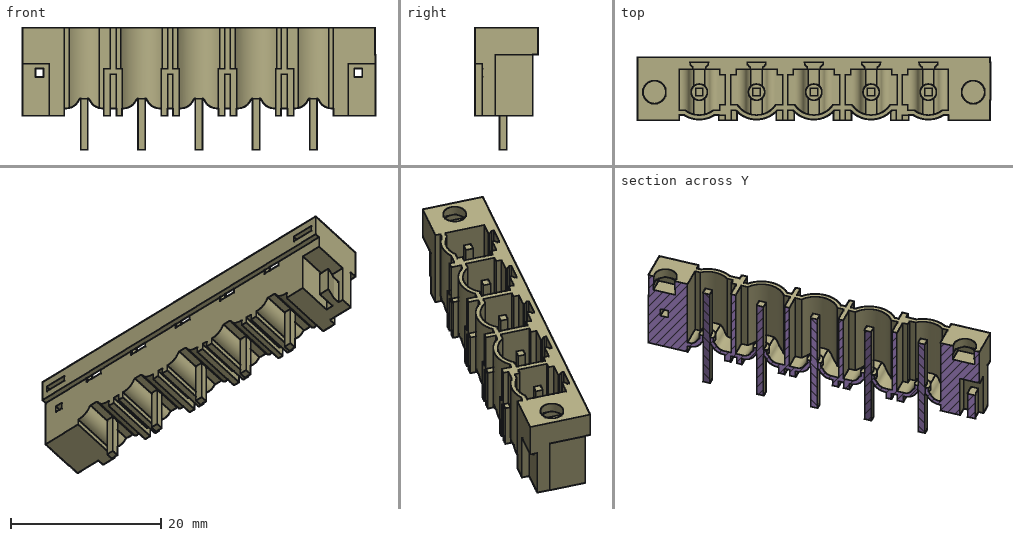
import cadquery as cq
import math


body_length = 46.9
body_depth = 8.4
body_height = 11.75
lower_depth = 7.7
overhang_z = 8.15
wall = 0.7

cell_count = 5
end_pin_span = 30.5
pitch = end_pin_span / (cell_count - 1)
cell_xs = [(i - (cell_count - 1) / 2) * pitch for i in range(cell_count)]
cells_length = 35.8
pin_y = 3.75
front_radius = 3.65
socket_radius = 3.05
socket_half_width = 2.72
socket_back_y = 6.8
side_pocket_front_y = 2.05
side_pocket_back_y = 6.05
side_pocket_half_width = (pitch - wall) / 2
end_front_y = wall
inner_front_y = side_pocket_front_y - wall

underside_z = 1.0
floor_z = underside_z + wall
trough_offset = 2.45
trough_radius = 1.9
ridge_radius = 0.85
ridge_rise = 0.65
trough_center_z = underside_z + trough_radius
ridge_center_z = trough_center_z - math.sqrt((trough_radius + ridge_radius) ** 2 - trough_offset ** 2)
ridge_top_z = ridge_center_z + ridge_rise + wall
boss_radius = 1.1
boss_height = 0.45

groove_neck_half_width = 0.85
groove_back_half_width = 1.2
groove_neck_y = 7.05
groove_taper = groove_back_half_width - groove_neck_half_width
groove_floor_z = 7.5

rib_half_width = 0.35
wide_rib_half_width = 0.45
wide_rib_inner_x = (end_pin_span - pitch) / 2 - wide_rib_half_width
rib_bottom_z = 5.55
foot_half_width = 1.2
foot_top_z = 6.25

ear_length = (body_length - cells_length) / 2
ear_notch_length = 3.55
ear_notch_depth = 1.0
ear_notch_top_z = 6.95
screw_offset = 2.25
screw_diameter = 3.05
nut_slot_top_z = 10.35
nut_slot_bottom_z = 9.4
window_bottom_z = 5.2
window_top_z = 6.3
window_near = 1.75
window_far = 2.75

latch_front_y = 2.72
tongue_back_y = 5.4
tongue_bend_y = 3.7
tongue_top_z = 4.1
tongue_tip = 0.3
tongue_face = 0.7
tab_thickness = 0.05

pin_width = 1.0
pin_length = 15.35
pin_bottom_z = -4.5


def block(x_range, y_range, z_range):
    """Box given by its limits along each axis."""
    (x0, x1), (y0, y1), (z0, z1) = x_range, y_range, z_range
    return cq.Workplane("XY").box(x1 - x0, y1 - y0, z1 - z0, centered=False).translate((x0, y0, z0))


def wave_plate(x, trough_r, ridge_r, ridge_flat_rise):
    """Solid from Z = 0 up to a ridge-and-trough curve centred at x, running the full depth along Y."""
    ridge_half_flat = math.sqrt(ridge_r ** 2 - ridge_flat_rise ** 2)
    flat_z = ridge_center_z + ridge_flat_rise
    trough_z = trough_center_z - trough_r
    joint_angle = math.asin(trough_offset / (trough_radius + ridge_radius))
    flat_angle = math.asin(ridge_half_flat / ridge_r)

    def ridge_point(angle, side):
        return side * ridge_r * math.sin(angle), ridge_center_z + ridge_r * math.cos(angle)

    def trough_point(angle, side):
        return (side * (trough_offset - trough_r * math.sin(angle)),
                trough_center_z - trough_r * math.cos(angle))

    ridge_middle = (joint_angle + flat_angle) / 2
    trough_middle = joint_angle / 2
    return (
        cq.Workplane("XZ", origin=(x, 0, 0))
        .moveTo(-trough_offset, 0)
        .lineTo(-trough_offset, trough_z)
        .threePointArc(trough_point(trough_middle, -1), ridge_point(joint_angle, -1))
        .threePointArc(ridge_point(ridge_middle, -1), (-ridge_half_flat, flat_z))
        .lineTo(ridge_half_flat, flat_z)
        .threePointArc(ridge_point(ridge_middle, 1), ridge_point(joint_angle, 1))
        .threePointArc(trough_point(trough_middle, 1), (trough_offset, trough_z))
        .lineTo(trough_offset, 0)
        .close()
        .extrude(-body_depth)
    )


def cell_body():
    """Solid block of the five cells with bulged fronts."""
    half = cells_length / 2
    z_range = (underside_z, body_height)
    body = block((-half, half), (inner_front_y, body_depth), z_range)
    for side in (-1, 1):
        end_wall = sorted((side * half, side * wide_rib_inner_x))
        body = body.union(block(end_wall, (end_front_y, body_depth), z_range))
    for x in cell_xs:
        bulge = cq.Workplane("XY", origin=(x, pin_y, underside_z)).circle(front_radius)
        body = body.union(bulge.extrude(body_height - underside_z))
    return body


def rib_and_feet(x, left_half_width, right_half_width):
    """Front rib on the wall between two cells, with a foot on each side of it."""
    left, right = x - left_half_width, x + right_half_width
    rib = block((left, right), (0, socket_back_y), (rib_bottom_z, body_height))
    left_foot = block((x - foot_half_width, left), (0, lower_depth), (0, foot_top_z))
    right_foot = block((right, x + foot_half_width), (0, lower_depth), (0, foot_top_z))
    return rib.union(left_foot).union(right_foot)


def socket(x, left_is_end, right_is_end):
    """Plug socket of one cell: straight back part, round front and side pockets."""
    is_end = left_is_end or right_is_end
    straight_front_y = inner_front_y if is_end else side_pocket_front_y
    z_range = (floor_z, body_height)
    round_front = (
        cq.Workplane("XY", origin=(x, pin_y, floor_z))
        .circle(socket_radius)
        .extrude(body_height - floor_z)
        .intersect(block((x - socket_half_width, x + socket_half_width), (0, pin_y), z_range))
    )
    straight = (x - socket_half_width, x + socket_half_width)
    opening = block(straight, (straight_front_y, socket_back_y), z_range).union(round_front)
    pocket_left = x - (socket_half_width if left_is_end else side_pocket_half_width)
    pocket_right = x + (socket_half_width if right_is_end else side_pocket_half_width)
    pocket_y = (side_pocket_front_y, side_pocket_back_y)
    opening = opening.union(block((pocket_left, pocket_right), pocket_y, z_range))

    floor = wave_plate(x, trough_radius - wall, ridge_radius + wall, ridge_rise + wall)
    boss = cq.Workplane("XY", origin=(x, pin_y, 0)).circle(boss_radius).extrude(ridge_top_z + boss_height)
    return opening.cut(floor).cut(boss)


def dovetail_groove(x):
    return (
        cq.Workplane("XY", origin=(x, 0, groove_floor_z))
        .polyline([
            (-groove_neck_half_width, socket_back_y),
            (groove_neck_half_width, socket_back_y),
            (groove_neck_half_width, groove_neck_y),
            (groove_back_half_width, groove_neck_y + groove_taper),
            (groove_back_half_width, lower_depth),
            (-groove_back_half_width, lower_depth),
            (-groove_back_half_width, groove_neck_y + groove_taper),
            (-groove_neck_half_width, groove_neck_y),
        ])
        .close()
        .extrude(body_height - groove_floor_z)
    )


def ear(side):
    """Screw ear at one end (side is -1 or 1): front notch, screw hole, nut slot and window."""
    end = side * body_length / 2

    def inward(near, far):
        return sorted((end - side * near, end - side * far))

    solid = block(inward(0, ear_length), (0, body_depth), (0, body_height))
    notch = block(inward(0, ear_notch_length), (0, ear_notch_depth), (0, ear_notch_top_z))
    screw_x = end - side * screw_offset
    screw_hole = cq.Workplane("XY", origin=(screw_x, pin_y, nut_slot_bottom_z)).circle(screw_diameter / 2)
    screw_hole = screw_hole.extrude(body_height - nut_slot_bottom_z)
    slot_x = (screw_x - screw_diameter / 2, screw_x + screw_diameter / 2)
    nut_slot = block(slot_x, (pin_y - screw_diameter / 2, body_depth), (nut_slot_bottom_z, nut_slot_top_z))
    window = block(inward(window_near, window_far), (0, body_depth), (window_bottom_z, window_top_z))
    return solid.cut(notch).cut(screw_hole).cut(nut_slot).cut(window)


def latch_recess():
    """Recess in the left end, with the hooked tongue left standing in it."""
    end = -body_length / 2
    recess = block((end, end + window_far), (latch_front_y, body_depth), (0, window_top_z))
    tongue = (
        cq.Workplane("XY")
        .polyline([
            (end + tongue_face, latch_front_y),
            (end + tongue_face, tongue_bend_y),
            (end + tongue_tip, tongue_back_y),
            (end + window_near, tongue_back_y),
            (end + window_near, latch_front_y),
        ])
        .close()
        .extrude(tongue_top_z)
    )
    return recess.cut(tongue)


def latch_tab():
    """Thin raised pad on the right end."""
    end = body_length / 2
    return block((end, end + tab_thickness), (latch_front_y, lower_depth), (0, overhang_z))


def pin(x):
    return (
        cq.Workplane("XY", origin=(x, pin_y, pin_bottom_z))
        .rect(pin_width, pin_width)
        .extrude(pin_length)
    )


def make_housing():
    body = cell_body()
    for i in range(cell_count - 1):
        left_half_width = wide_rib_half_width if i == cell_count - 2 else rib_half_width
        right_half_width = wide_rib_half_width if i == 0 else rib_half_width
        rib_x = cell_xs[i] + pitch / 2
        body = body.union(rib_and_feet(rib_x, left_half_width, right_half_width))
    for i, x in enumerate(cell_xs):
        body = body.cut(socket(x, i == 0, i == cell_count - 1))
        body = body.cut(wave_plate(x, trough_radius, ridge_radius, ridge_rise))
        body = body.cut(dovetail_groove(x))

    body = body.union(ear(-1)).union(ear(1))
    half = body_length / 2
    body = body.cut(block((-half, half), (lower_depth, body_depth), (0, overhang_z)))
    body = body.cut(latch_recess()).union(latch_tab())
    for x in cell_xs:
        body = body.cut(pin(x))
    return body.solids()


housing = make_housing()
pins = [pin(x) for x in cell_xs]

result = cq.Compound.makeCompound([housing.val(), *[single_pin.val() for single_pin in pins]])